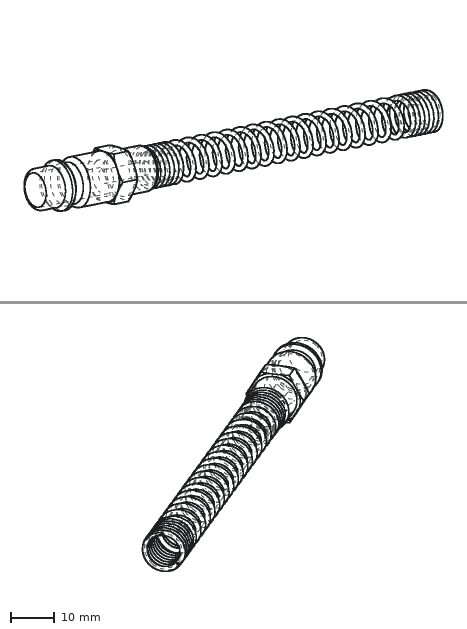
import cadquery as cq
import math

overall_length = 115.0

nose_radius = 5.0
nose_rounding = 0.9
collar_radius = 6.0
collar_front_start = 5.0
collar_front_edge = 6.2
collar_back_edge = 7.1
collar_back_end = 8.0
shoulder_start = 10.1
shoulder_end = 11.4
sleeve_radius = 5.4
sleeve_end_radius = 4.8
sleeve_chamfer_start = 31.3
body_length = 32.2

hex_across_corners = 13.9
hex_start = 19.8
hex_end = 24.7
hex_chamfer_radius = 6.2
hex_chamfer_length = 0.3

nose_bore_radius = nose_radius - nose_rounding
nose_bore_depth = 19.5
through_bore_radius = 1.6

wire_radius = 0.63
spring_outer_radius = 5.1
coil_radius = spring_outer_radius - wire_radius
closed_pitch = 1.32
open_pitch = 3.8
spring_start = 31.7
open_start = 39.1
open_end = 106.6
open_coil_top = 106.1
spring_end = overall_length + 0.2
points_per_turn = 16


def cylinder_along_y(radius, start, end):
    return cq.Workplane("XZ", origin=(0, start, 0)).circle(radius).extrude(start - end)


def turned_body():
    diagonal = math.sqrt(0.5)
    rounding_mid = (
        nose_radius - nose_rounding * (1 - diagonal),
        nose_rounding * (1 - diagonal),
    )
    profile = (
        cq.Workplane("XY")
        .lineTo(nose_radius - nose_rounding, 0)
        .threePointArc(rounding_mid, (nose_radius, nose_rounding))
        .lineTo(nose_radius, collar_front_start)
        .lineTo(collar_radius, collar_front_edge)
        .lineTo(collar_radius, collar_back_edge)
        .lineTo(nose_radius, collar_back_end)
        .lineTo(nose_radius, shoulder_start)
        .lineTo(collar_radius, shoulder_end)
        .lineTo(collar_radius, hex_start)
        .lineTo(sleeve_radius, hex_start)
        .lineTo(sleeve_radius, sleeve_chamfer_start)
        .lineTo(sleeve_end_radius, body_length)
        .lineTo(0, body_length)
        .close()
    )
    return profile.revolve(360, (0, 0), (0, 1))


def chamfered_hexagon():
    prism = (
        cq.Workplane("XZ", origin=(0, hex_start, 0))
        .polygon(6, hex_across_corners)
        .extrude(hex_start - hex_end)
    )
    corner_radius = hex_across_corners / 2
    envelope = (
        cq.Workplane("XY")
        .moveTo(0, hex_start)
        .lineTo(hex_chamfer_radius, hex_start)
        .lineTo(corner_radius, hex_start + hex_chamfer_length)
        .lineTo(corner_radius, hex_end - hex_chamfer_length)
        .lineTo(hex_chamfer_radius, hex_end)
        .lineTo(0, hex_end)
        .close()
        .revolve(360, (0, 0), (0, 1))
    )
    return prism.intersect(envelope)


def turns_at(y):
    """Turns past the +Z side at height y, counted from the reference open coil."""
    open_y = min(max(y, open_start), open_end)
    return (open_y - open_coil_top) / open_pitch + (y - open_y) / closed_pitch


def height_at(turns):
    """Y reached by the wire centre line after the given number of turns."""
    open_turns = min(max(turns, turns_at(open_start)), turns_at(open_end))
    return open_coil_top + open_turns * open_pitch + (turns - open_turns) * closed_pitch


def coil_point(turns):
    angle = 2 * math.pi * turns
    return cq.Vector(coil_radius * math.sin(angle), height_at(turns), coil_radius * math.cos(angle))


def spring():
    """Right-handed coil with closed turns at both ends and open turns between."""
    first_turn = turns_at(spring_start)
    turn_count = turns_at(spring_end) - first_turn
    steps = math.ceil(turn_count * points_per_turn)
    centre_line = cq.Edge.makeSpline([
        coil_point(first_turn + turn_count * step / steps) for step in range(steps + 1)
    ])
    section = cq.Plane(origin=centre_line.startPoint(), normal=centre_line.tangentAt(0))
    path = cq.Workplane(obj=cq.Wire.assembleEdges([centre_line]))
    coil = cq.Workplane(section).circle(wire_radius).sweep(path, isFrenet=True)
    ground_off = cylinder_along_y(2 * spring_outer_radius, overall_length, spring_end + 2 * wire_radius)
    return coil.cut(ground_off)


fitting = turned_body().union(chamfered_hexagon())
fitting = fitting.cut(cylinder_along_y(nose_bore_radius, 0, nose_bore_depth))
fitting = fitting.cut(cylinder_along_y(through_bore_radius, nose_bore_depth, body_length))
result = fitting.union(spring())